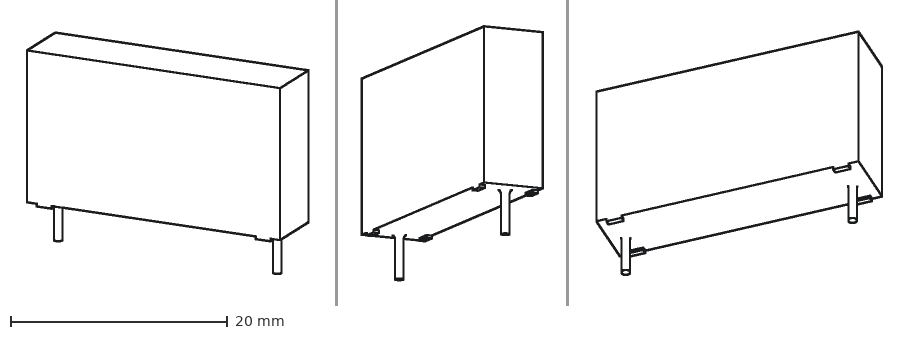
import cadquery as cq

length = 26.0
depth = 6.0
total_height = 19.0

foot_height = 0.25
foot_length = 1.5
foot_depth = 0.55

lead_diameter = 0.8
lead_pitch = 22.5
lead_below_feet = 4.0
collar_radius = 0.5

lead_length = lead_below_feet + foot_height
body_height = total_height - lead_length
body_bottom = foot_height
foot_y = (depth - foot_depth) / 2


def make_body():
    """Plain rectangular case resting on top of the feet."""
    case = cq.Workplane("XY").box(length, depth, body_height, centered=(True, True, False))
    return case.translate((0, 0, body_bottom))


def make_foot(x, y):
    """Small rectangular standoff centred at (x, y)."""
    foot = cq.Workplane("XY").box(foot_length, foot_depth, foot_height, centered=(True, True, False))
    return foot.translate((x, y, 0))


def make_lead(x):
    """Round lead that flares into the case through a quarter-round collar."""
    lead_radius = lead_diameter / 2
    profile = (
        cq.Workplane("XZ")
        .lineTo(lead_radius + collar_radius, 0)
        .radiusArc((lead_radius, -collar_radius), -collar_radius)
        .lineTo(lead_radius, -lead_length)
        .lineTo(0, -lead_length)
        .close()
    )
    lead = profile.revolve(360, (0, 0, 0), (0, 1, 0))
    return lead.translate((x, 0, body_bottom))


result = make_body()
for lead_x in (-lead_pitch / 2, lead_pitch / 2):
    result = result.union(make_lead(lead_x))
    for y in (-foot_y, foot_y):
        result = result.union(make_foot(lead_x, y))